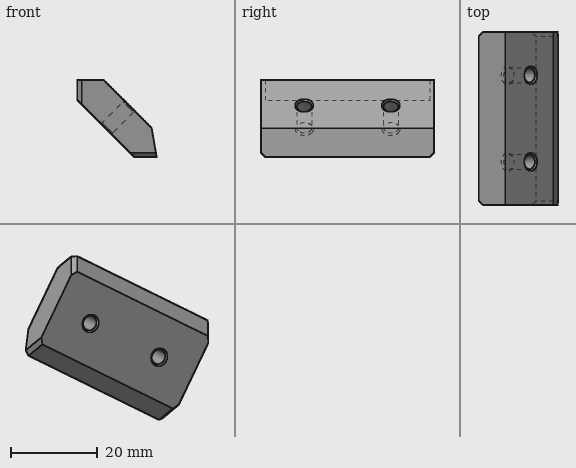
import cadquery as cq
import math

width = 18.35
length = 40
height = 17.85

top_land = 6.1
left_land_z = 13.15
nose_x = 17.2
nose_z = height - (nose_x - top_land)
bottom_start_x = left_land_z

end_chamfer = 1.0

hole_diameter = 3.4
countersink_diameter = 4.2
hole_spacing = 20.0
hole_x = 12.0
hole_z = height - (hole_x - top_land)
thickness = (height + top_land - left_land_z) / math.sqrt(2)


def make_bar():
    profile = [
        (0, left_land_z),
        (0, height),
        (top_land, height),
        (nose_x, nose_z),
        (width, 0),
        (bottom_start_x, 0),
    ]
    return cq.Workplane("XZ").polyline(profile).close().extrude(length / 2, both=True)


def chamfer_ends(bar):
    """Bevel the end edges of the upright left face and of the bottom face."""
    bar = bar.faces("<X").edges("|Z").chamfer(end_chamfer)
    return bar.faces("<Z").edges("<Y or >Y").chamfer(end_chamfer)


def make_hole_cutter(y):
    """Half section of a hole with a countersink at each end, revolved about its axis."""
    radius = hole_diameter / 2
    mouth_radius = countersink_diameter / 2
    sink_depth = mouth_radius - radius
    slope = cq.Plane(origin=(hole_x, y, hole_z), xDir=(0, 1, 0), normal=(1, 0, -1))
    section = [
        (0, 0),
        (mouth_radius, 0),
        (radius, -sink_depth),
        (radius, sink_depth - thickness),
        (mouth_radius, -thickness),
        (0, -thickness),
    ]
    return cq.Workplane(slope).polyline(section).close().revolve(360, (0, 0), (0, 1))


result = chamfer_ends(make_bar())
for hole_y in (-hole_spacing / 2, hole_spacing / 2):
    result = result.cut(make_hole_cutter(hole_y))